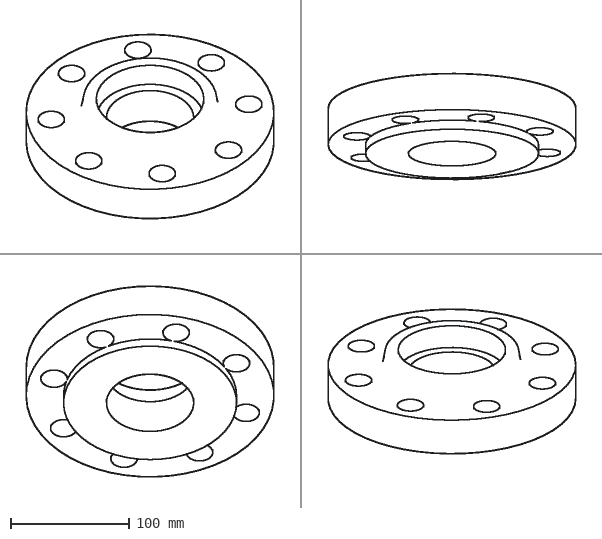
import cadquery as cq
import math

flange_diameter = 209.5
flange_thickness = 31.8
face_diameter = 146.2
face_height = 8.0

hub_height = 14.0
hub_base_diameter = 117.3
hub_taper_angle = 10.0
hub_edge_radius = 2.0

bore_diameter = 73.7
socket_diameter = 90.7
socket_depth = 20.5

bolt_count = 8
bolt_circle_diameter = 168.2
bolt_hole_diameter = 22.2

flange_top = face_height + flange_thickness
total_height = flange_top + hub_height
hub_base_radius = hub_base_diameter / 2
hub_top_radius = hub_base_radius - hub_height * math.tan(math.radians(hub_taper_angle))


def make_blank():
    """Solid of revolution: raised face, flange disc and tapered hub."""
    profile = (
        cq.Workplane("XZ")
        .lineTo(face_diameter / 2, 0)
        .lineTo(face_diameter / 2, face_height)
        .lineTo(flange_diameter / 2, face_height)
        .lineTo(flange_diameter / 2, flange_top)
        .lineTo(hub_base_radius, flange_top)
        .lineTo(hub_top_radius, total_height)
        .lineTo(0, total_height)
        .close()
    )
    return profile.revolve(360, (0, 0, 0), (0, 1, 0))


def round_hub(body):
    """Round the top rim of the hub and its root on the flange."""
    rim_rounded = body.faces(">Z").edges().fillet(hub_edge_radius)
    flange_face = rim_rounded.faces(cq.selectors.NearestToPointSelector((0, 0, flange_top)))
    root_edge = flange_face.edges(cq.selectors.RadiusNthSelector(0))
    return root_edge.fillet(hub_edge_radius)


def cut_bore_and_socket(body):
    """Bore through the whole part, with the socket sunk in from the hub top."""
    hub_end = body.faces(">Z").workplane(origin=(0, 0, 0))
    return hub_end.cboreHole(bore_diameter, socket_diameter, socket_depth)


def cut_bolt_holes(body):
    """Through holes evenly spaced on the bolt circle, the first on the X axis."""
    holes = (
        cq.Workplane("XY")
        .polarArray(bolt_circle_diameter / 2, 0, 360, bolt_count)
        .circle(bolt_hole_diameter / 2)
        .extrude(total_height)
    )
    return body.cut(holes)


blank = make_blank()
rounded = round_hub(blank)
bored = cut_bore_and_socket(rounded)
result = cut_bolt_holes(bored)